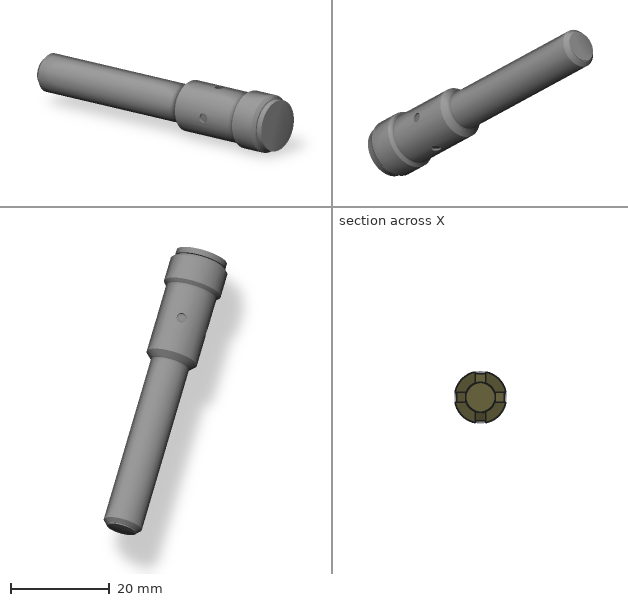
import cadquery as cq

total_length = 59.95
core_diameter = 6.2
tube_diameter = 8.05
head_diameter = 10.6
collar_diameter = 12.0
core_overhang = 0.2

tip_chamfer = 0.85
head_start = 36.25
collar_start = 52.2
cap_thickness = 1.2

screw_diameter = 2.0
screw_recess = 0.5
screw_count = 4
screw_x = 44.9

core_radius = core_diameter / 2
tube_radius = tube_diameter / 2
head_radius = head_diameter / 2
collar_radius = collar_diameter / 2
cap_start = total_length - cap_thickness
housing_start = core_overhang
housing_end = cap_start - core_overhang
head_chamfer = head_radius - tube_radius
collar_chamfer = collar_radius - head_radius
screw_top_radius = head_radius - screw_recess


def disc(start, end, radius):
    """Make a cylinder along X between two X positions."""
    return cq.Workplane("YZ", origin=(start, 0, 0)).circle(radius).extrude(end - start)


def radial_cylinder(index, outer_radius):
    """Make one cylinder from the axis outward at the screw station, at equal turns around X."""
    cylinder = (
        cq.Workplane("XY", origin=(screw_x, 0, 0))
        .circle(screw_diameter / 2)
        .extrude(outer_radius)
    )
    return cylinder.rotate((0, 0, 0), (1, 0, 0), index * 360 / screw_count)


def make_core():
    """Round rod that runs through the housing and meets the end cap."""
    return disc(0, cap_start, core_radius)


def make_housing():
    """Tube with a chamfered tip, a thicker head with a collar, and radial screw holes."""
    outline = [
        (housing_start, core_radius),
        (housing_start, tube_radius - tip_chamfer),
        (housing_start + tip_chamfer, tube_radius),
        (head_start, tube_radius),
        (head_start + head_chamfer, head_radius),
        (collar_start, head_radius),
        (collar_start + collar_chamfer, collar_radius),
        (housing_end - collar_chamfer, collar_radius),
        (housing_end, head_radius),
        (housing_end, core_radius),
    ]
    housing = cq.Workplane("XY").polyline(outline).close().revolve(360, (0, 0, 0), (1, 0, 0))
    for index in range(screw_count):
        housing = housing.cut(radial_cylinder(index, collar_radius))
    return housing


def make_end_cap():
    """Plain disc on the end of the core, held clear of the collar by the core overhang."""
    return disc(cap_start, total_length, head_radius)


def make_screw(index, core):
    """Headless screw seated on the core, its flat outer end below the head surface."""
    return radial_cylinder(index, screw_top_radius).cut(core)


core = make_core()
housing = make_housing()
end_cap = make_end_cap()
screws = [make_screw(index, core) for index in range(screw_count)]

result = cq.Compound.makeCompound([
    core.val(),
    housing.val(),
    end_cap.val(),
    *[screw.val() for screw in screws],
])